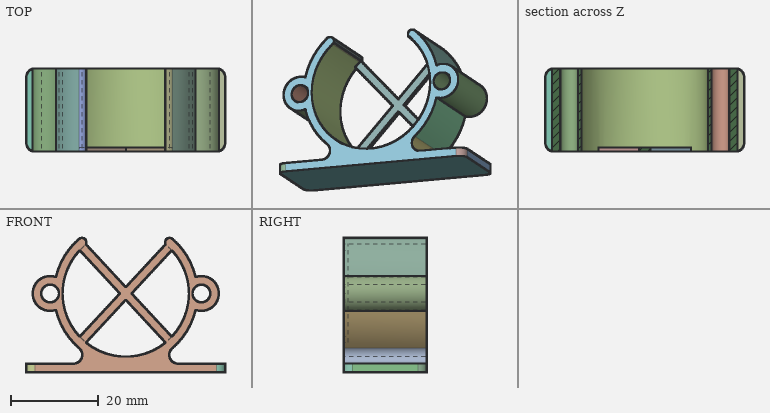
import cadquery as cq
import math

base_length = 45.4
depth = 19.0
wall = 2.0
bore_radius = 14.4
center_height = 18.0
total_height = 30.7
corner_radius = 2.0
neck_radius = 2.0
boss_radius = 4.0
boss_hole_diameter = 4.0
boss_offset = 17.25
cross_thickness = 1.0
cross_angle = 47.1

ring_radius = bore_radius + wall
tip_radius = wall / 2
tip_path_radius = bore_radius + tip_radius
tip_rise = total_height - tip_radius - center_height
tip_offset = math.sqrt(tip_path_radius**2 - tip_rise**2)
front_y = -depth / 2


def front_plane(height):
    """Sketch plane on the front face, with its origin at the given height."""
    return cq.Workplane("XZ", origin=(0, front_y, height))


def cylinder(x, z, radius):
    """Full-depth cylinder along Y, placed relative to the bore axis."""
    return front_plane(center_height).center(x, z).circle(radius).extrude(-depth)


def make_base():
    plate = cq.Workplane("XY").box(base_length, depth, wall, centered=(True, True, False))
    return plate.edges("|Z").fillet(corner_radius)


def make_neck():
    """Web under the ring; its concave sides are tangent to the ring and the plate."""
    blend_z = wall + neck_radius - center_height
    blend_x = math.sqrt((ring_radius + neck_radius)**2 - blend_z**2)
    contact_scale = ring_radius / (ring_radius + neck_radius)
    contact_x = blend_x * contact_scale
    contact_z = blend_z * contact_scale
    inner_x = blend_x - neck_radius
    plate_z = wall - center_height
    return (
        front_plane(center_height)
        .moveTo(-blend_x, plate_z)
        .lineTo(blend_x, plate_z)
        .radiusArc((inner_x, blend_z), neck_radius)
        .radiusArc((contact_x, contact_z), neck_radius)
        .lineTo(0, 0)
        .lineTo(-contact_x, contact_z)
        .radiusArc((-inner_x, blend_z), neck_radius)
        .radiusArc((-blend_x, plate_z), neck_radius)
        .close()
        .extrude(-depth)
    )


def make_mouth():
    """Wedge opening the ring at the top, bounded by rays through the tip centers."""
    reach = 2 * ring_radius / tip_path_radius
    corner_x = tip_offset * reach
    corner_z = tip_rise * reach
    outline = [(0, 0), (corner_x, corner_z), (-corner_x, corner_z)]
    return front_plane(center_height).polyline(outline).close().extrude(-depth)


def make_cross():
    """Two thin diagonal bars across the front end of the bore."""
    bar_length = 2 * tip_path_radius
    bars = cq.Workplane("XY")
    for angle in (cross_angle, -cross_angle):
        bar = (
            front_plane(center_height)
            .transformed(rotate=(0, 0, angle))
            .rect(bar_length, wall)
            .extrude(-cross_thickness)
        )
        bars = bars.add(bar)
    ring_space = front_plane(center_height).circle(tip_path_radius).extrude(-cross_thickness)
    return bars.combine().intersect(ring_space)


body = cylinder(0, 0, ring_radius).union(make_neck()).union(make_base())
body = body.cut(make_mouth()).cut(cylinder(0, 0, bore_radius))

pad_x = tip_offset - tip_radius
pad_bottom = math.sqrt(bore_radius**2 - pad_x**2)
for side in (-1, 1):
    tip = cylinder(side * tip_offset, tip_rise, tip_radius)
    pad = (
        front_plane(center_height)
        .polyline([
            (side * pad_x, tip_rise),
            (side * pad_x, pad_bottom),
            (side * tip_offset, tip_rise),
        ])
        .close()
        .extrude(-depth)
    )
    boss = cylinder(side * boss_offset, 0, boss_radius)
    boss = boss.cut(cylinder(0, 0, tip_path_radius))
    body = body.union(tip).union(pad).union(boss)

for side in (-1, 1):
    body = body.cut(cylinder(side * boss_offset, 0, boss_hole_diameter / 2))

result = body.union(make_cross())